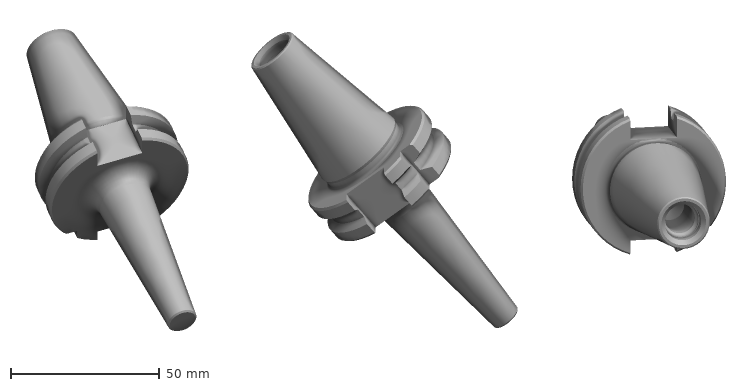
import cadquery as cq
import math

total_length = 127.6
flange_start = 50.8
flange_width = 15.8
flange_end = flange_start + flange_width

shank_large_radius = 15.8
shank_length = 47.0
shank_slope = 3.5 / 24
shank_small_radius = shank_large_radius - shank_length * shank_slope
shank_rim_chamfer = 0.4
neck_radius = 15.5
neck_start = 48.0
neck_fillet = 1.0

flange_radius = 25.0
flange_chamfer = 0.8
flange_chamfer_depth = 0.6
groove_floor_radius = 22.1
groove_center = flange_start + flange_width / 2
groove_mouth_width = 6.5
groove_floor_width = 3.5

nose_base_radius = 9.7
nose_tip_radius = 5.1
nose_fillet = 5.4
nose_tip_chamfer = 0.5

slot_width = 16.1
upper_slot_floor = 16.3
lower_slot_floor = 18.6
notch_side = 15.0
notch_top = 15.2

bore_mouth_radius = 7.7
bore_radius = 6.3
bore_mouth_depth = 1.3
bore_depth = 4.1
seat_radius = 6.0
seat_depth = 4.9
thread_start = 6.4
thread_radius = 5.1
thread_depth = 24.3
drill_half_angle = math.radians(59)


def revolve_about_x(points):
    """Revolve a closed outline of (x, radius) points about the X axis."""
    return cq.Workplane("XY").polyline(points).close().revolve(360, (0, 0, 0), (1, 0, 0))


def make_shank():
    chamfered_radius = shank_small_radius - shank_rim_chamfer
    fillet_start = flange_start - neck_fillet
    fillet_middle = neck_fillet * math.sqrt(0.5)
    profile = (
        cq.Workplane("XY")
        .lineTo(0, chamfered_radius)
        .lineTo(shank_rim_chamfer, shank_small_radius + shank_rim_chamfer * shank_slope)
        .lineTo(shank_length, shank_large_radius)
        .lineTo(neck_start, neck_radius)
        .lineTo(fillet_start, neck_radius)
        .threePointArc(
            (fillet_start + fillet_middle, neck_radius + neck_fillet - fillet_middle),
            (flange_start, neck_radius + neck_fillet),
        )
        .lineTo(flange_start, 0)
        .close()
    )
    return profile.revolve(360, (0, 0, 0), (1, 0, 0))


def make_flange():
    rim_radius = flange_radius - flange_chamfer_depth
    return revolve_about_x([
        (flange_start, 0),
        (flange_start, rim_radius),
        (flange_start + flange_chamfer, flange_radius),
        (groove_center - groove_mouth_width / 2, flange_radius),
        (groove_center - groove_floor_width / 2, groove_floor_radius),
        (groove_center + groove_floor_width / 2, groove_floor_radius),
        (groove_center + groove_mouth_width / 2, flange_radius),
        (flange_end - flange_chamfer, flange_radius),
        (flange_end, rim_radius),
        (flange_end, 0),
    ])


def make_nose():
    cone_angle = math.atan2(nose_base_radius - nose_tip_radius, total_length - flange_end)
    center_x = flange_end + nose_fillet
    center_r = (
        nose_base_radius
        - nose_fillet * math.tan(cone_angle)
        + nose_fillet / math.cos(cone_angle)
    )

    def fillet_point(angle):
        return (center_x - nose_fillet * math.cos(angle), center_r - nose_fillet * math.sin(angle))

    tangent_angle = math.pi / 2 + cone_angle
    chamfer_start = total_length - nose_tip_chamfer
    profile = (
        cq.Workplane("XY")
        .moveTo(flange_end, 0)
        .lineTo(*fillet_point(0))
        .threePointArc(fillet_point(tangent_angle / 2), fillet_point(tangent_angle))
        .lineTo(chamfer_start, nose_tip_radius + nose_tip_chamfer * math.tan(cone_angle))
        .lineTo(total_length, nose_tip_radius - nose_tip_chamfer)
        .lineTo(total_length, 0)
        .close()
    )
    return profile.revolve(360, (0, 0, 0), (1, 0, 0))


def make_bore():
    cone_depth = thread_radius / math.tan(drill_half_angle)
    return revolve_about_x([
        (0, 0),
        (0, bore_mouth_radius),
        (bore_mouth_depth, bore_radius),
        (bore_depth, bore_radius),
        (bore_depth, seat_radius),
        (seat_depth, seat_radius),
        (thread_start, thread_radius),
        (thread_depth, thread_radius),
        (thread_depth + cone_depth, 0),
    ])


def flange_block(y_min, y_max, z_min, z_max):
    """Cutting block that spans the flange width."""
    return (
        cq.Workplane("XY")
        .box(flange_width, y_max - y_min, z_max - z_min, centered=False)
        .translate((flange_start, y_min, z_min))
    )


half_slot = slot_width / 2
upper_slot = flange_block(-half_slot, half_slot, upper_slot_floor, flange_radius)
lower_slot = flange_block(-half_slot, half_slot, -flange_radius, -lower_slot_floor)
notch = flange_block(-flange_radius, -notch_side, -flange_radius, -notch_top)

flange = make_flange().cut(upper_slot).cut(lower_slot).cut(notch)
result = make_shank().union(flange).union(make_nose()).cut(make_bore())